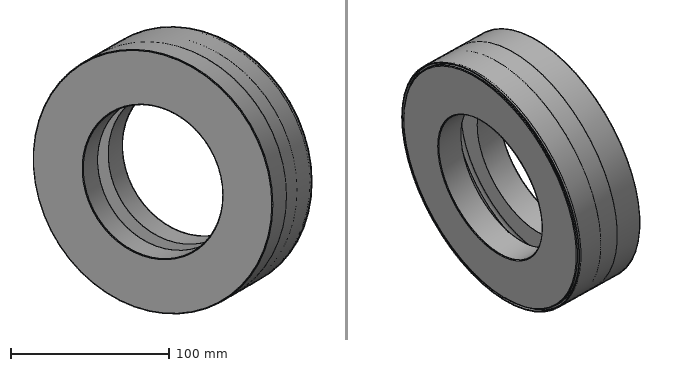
import cadquery as cq

WIDTH = 50.8
BORE_DIAMETER = 101.6
CUP_DIAMETER = 174.6
CUP_BORE_DIAMETER = 173.5
CUP_FLOOR = 18.7
CUP_LENGTH = 50.3
BACK_WASHER_DIAMETER = 173.2
BACK_WASHER_START = 32.1
BACK_STEP_START = 48.5
BACK_STEP_DIAMETER = 170.6
EDGE_CHAMFER = 0.5
RACE_PITCH_DIAMETER = 139.3
RACE_RADIUS = 7.3

FRONT_Y = -WIDTH / 2
RACE_Y = FRONT_Y + (CUP_FLOOR + BACK_WASHER_START) / 2


def ring(outer_diameter, inner_diameter, start, end):
    """Ring about Y between two distances from the front face."""
    return (
        cq.Workplane("XZ", origin=(0, FRONT_Y + start, 0))
        .circle(outer_diameter / 2)
        .circle(inner_diameter / 2)
        .extrude(start - end)
    )


def race_torus():
    """Torus midway between the washers that cuts a shallow race into each of them."""
    center = cq.Vector(0, RACE_Y, 0)
    axis = cq.Vector(0, 1, 0)
    return cq.Workplane(cq.Solid.makeTorus(RACE_PITCH_DIAMETER / 2, RACE_RADIUS, center, axis))


def make_shrouded_washer():
    """Front washer with a thin shroud reaching back around the back washer."""
    body = ring(CUP_DIAMETER, BORE_DIAMETER, 0, CUP_LENGTH)
    body = body.faces("<Y").chamfer(EDGE_CHAMFER)
    body = body.cut(ring(CUP_BORE_DIAMETER, BORE_DIAMETER, CUP_FLOOR, CUP_LENGTH))
    return body.cut(race_torus())


def make_back_washer():
    """Back washer, stepped at its outer end and running clear of the shroud."""
    body = ring(BACK_WASHER_DIAMETER, BORE_DIAMETER, BACK_WASHER_START, BACK_STEP_START)
    body = body.union(ring(BACK_STEP_DIAMETER, BORE_DIAMETER, BACK_STEP_START, WIDTH))
    body = body.faces(">Y").chamfer(EDGE_CHAMFER)
    return body.cut(race_torus())


shrouded_washer = make_shrouded_washer()
back_washer = make_back_washer()

result = cq.Compound.makeCompound([shrouded_washer.val(), back_washer.val()])